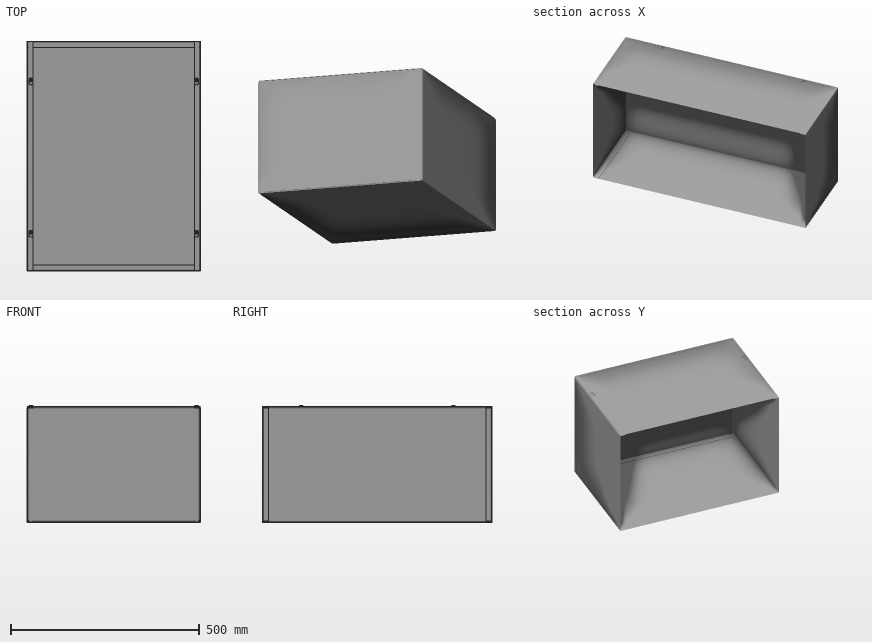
import cadquery as cq

sheet = 1.5
bend_radius = 2.5
flange = 16.0

width = 460.0
length = 609.5
total_height = 310.0
end_inset = 0.3

screw_x = 220.0
screw_y = 202.5
head_diameter = 10.0
head_height = 2.5
head_rounding = 2.0
shank_diameter = 3.7
shank_length = 6.0
drive_slot_width = 1.0
drive_slot_depth = 1.0

keyhole_slot = 4.15
keyhole_entry = 11.5
keyhole_travel = 7.5

cover_top = total_height - head_height
wrap_height = cover_top - sheet
inner_width = width - 2 * sheet
opening_width = width - 2 * flange
screw_points = [(x, y) for x in (-screw_x, screw_x) for y in (-screw_y, screw_y)]


def make_wrap():
    """Bottom, both sides and their two top flanges, bent from one sheet."""
    wrap_length = length - 2 * end_inset
    outer = (
        cq.Workplane("XY")
        .box(width, wrap_length, wrap_height, centered=(True, True, False))
        .edges("|Y")
        .fillet(bend_radius)
    )
    inner = (
        cq.Workplane("XY", origin=(0, 0, sheet))
        .box(inner_width, wrap_length, wrap_height - 2 * sheet, centered=(True, True, False))
        .edges("|Y")
        .fillet(bend_radius - sheet)
    )
    opening = cq.Workplane("XY", origin=(0, 0, wrap_height - sheet)).box(
        opening_width, wrap_length, sheet, centered=(True, True, False)
    )
    screw_holes = (
        cq.Workplane("XY", origin=(0, 0, wrap_height - sheet))
        .pushPoints(screw_points)
        .circle(shank_diameter / 2)
        .extrude(sheet)
    )
    return outer.cut(inner).cut(opening).cut(screw_holes)


def make_channel(span, height):
    """Upright channel at the -Y end: a web with a bent flange at each X side, centred on z = 0."""
    outer = cq.Workplane("XY").box(span, flange, height).edges("|Z and <Y").fillet(bend_radius)
    inner = (
        cq.Workplane("XY")
        .box(span - 2 * sheet, flange, height)
        .edges("|Z and <Y")
        .fillet(bend_radius - sheet)
        .translate((0, sheet, 0))
    )
    return outer.cut(inner).translate((0, (flange - length) / 2, 0))


def make_end_panel():
    """End panel at -Y with flanges behind both sides, the bottom and the cover."""
    panel_height = wrap_height - sheet
    middle_z = sheet + panel_height / 2
    side_channel = make_channel(inner_width, panel_height - 2 * bend_radius)
    level_channel = make_channel(panel_height, opening_width).rotate((0, 0, 0), (0, 1, 0), 90)
    corner_width = flange - sheet - bend_radius
    corner_x = (opening_width + corner_width) / 2
    webs = (
        cq.Workplane("XY", origin=(0, -length / 2, sheet))
        .pushPoints([(-corner_x, 0), (corner_x, 0)])
        .box(corner_width, sheet, panel_height - sheet, centered=(True, False, False))
    )
    channels = side_channel.union(level_channel).translate((0, 0, middle_z))
    return channels.union(webs)


def make_cover():
    """Flat cover with one keyhole for each screw."""
    entry_points = [(x, y - keyhole_travel) for x, y in screw_points]
    slot_points = [(x, y - keyhole_travel / 2) for x, y in screw_points]
    base = cq.Workplane("XY", origin=(0, 0, wrap_height))
    plate = base.box(inner_width, length, sheet, centered=(True, True, False))
    entries = base.pushPoints(entry_points).circle(keyhole_entry / 2).extrude(sheet)
    slots = (
        base.pushPoints(slot_points)
        .slot2D(keyhole_travel + keyhole_slot, keyhole_slot, 90)
        .extrude(sheet)
    )
    return plate.cut(entries).cut(slots)


def make_screw(x, y):
    """Round-headed slotted screw whose head rests on the cover."""
    seat = cq.Workplane("XY", origin=(x, y, cover_top))
    head = seat.circle(head_diameter / 2).extrude(head_height)
    head = head.faces(">Z").edges().fillet(head_rounding)
    shank = seat.circle(shank_diameter / 2).extrude(-shank_length)
    drive_slot = (
        cq.Workplane("XY", origin=(x, y, cover_top + head_height))
        .rect(head_diameter, drive_slot_width)
        .extrude(-drive_slot_depth)
    )
    return head.union(shank).cut(drive_slot)


wrap = make_wrap()
front_panel = make_end_panel()
rear_panel = front_panel.mirror("XZ")
cover = make_cover()
screws = [make_screw(x, y).solids().val() for x, y in screw_points]

result = cq.Compound.makeCompound(
    [
        wrap.solids().val(),
        front_panel.solids().val(),
        rear_panel.solids().val(),
        cover.solids().val(),
        *screws,
    ]
)